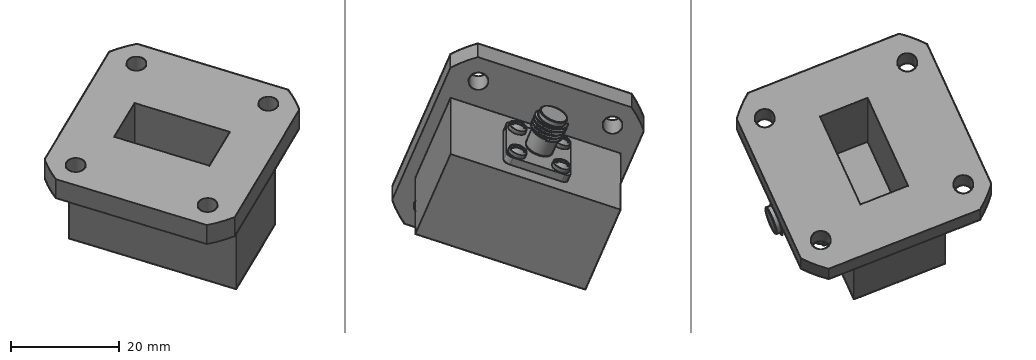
import cadquery as cq
import math

flange_side = 38.1
flange_thickness = 5.0
corner_cut = 3.92
flange_hole_diameter = 3.65
hole_pitch_x = 26.4
hole_pitch_y = 28.5

total_height = 25.4
body_width = 33.5
body_depth = 18.3
channel_width = 19.05
channel_depth = 9.52
wall = (body_depth - channel_depth) / 2
flange_bottom = total_height - flange_thickness

connector_z = 9.52
plate_side = 12.7
plate_thickness = 1.6
plate_corner_radius = 1.25
barrel_diameter = 5.35
barrel_end_diameter = 5.05
barrel_length = 7.92
base_taper_length = 0.25
plate_base = body_depth / 2
plate_face = plate_base + plate_thickness

thread_diameter = 6.4
thread_root_diameter = 5.55
thread_pitch = 0.72
thread_turns = 4.25
thread_start = 3.77
thread_length = 3.12
thread_lead_in = 0.057
thread_root_width = 0.65
thread_crest_width = 0.15
thread_embed = 0.1

screw_pitch = 8.65
head_diameter = 3.45
head_shoulder_diameter = 3.35
rim_height = 0.45
shoulder_height = 0.8
head_height = 1.45
slot_width = 0.85
slot_depth = 0.45


def on_connector_axis(shape, y):
    """Turn a shape built along +Z to point along +Y, standing on the plane at y."""
    return shape.rotate((0, 0, 0), (1, 0, 0), -90).translate((0, y, connector_z))


def make_flange():
    """Square plate with its corners turned on a circle about the channel axis."""
    half = flange_side / 2
    corner_radius = math.hypot(half, half - corner_cut)
    plate = cq.Workplane("XY").rect(flange_side, flange_side).extrude(flange_thickness)
    turned = cq.Workplane("XY").circle(corner_radius).extrude(flange_thickness)
    holes = (
        cq.Workplane("XY")
        .rect(hole_pitch_x, hole_pitch_y, forConstruction=True)
        .vertices()
        .circle(flange_hole_diameter / 2)
        .extrude(flange_thickness)
    )
    return plate.intersect(turned).cut(holes).translate((0, 0, flange_bottom))


def make_body():
    """Solid block below the flange."""
    return cq.Workplane("XY").rect(body_width, body_depth).extrude(flange_bottom)


def make_channel():
    """Waveguide opening, leaving a floor as thick as the long side walls."""
    return (
        cq.Workplane("XY", origin=(0, 0, wall))
        .rect(channel_width, channel_depth)
        .extrude(total_height - wall)
    )


def make_connector_plate():
    """Square plate with rounded corners, seated on the +Y face of the body."""
    plate = (
        cq.Workplane("XY")
        .rect(plate_side, plate_side)
        .extrude(plate_thickness)
        .edges("|Z")
        .fillet(plate_corner_radius)
    )
    return on_connector_axis(plate, plate_base)


def make_barrel():
    """Round barrel, tapering at its tip and where it meets the plate."""
    end_taper = (barrel_diameter - barrel_end_diameter) / 2
    barrel = (
        cq.Workplane("XY")
        .circle(barrel_diameter / 2)
        .extrude(barrel_length)
        .faces(">Z")
        .chamfer(end_taper)
        .faces("<Z")
        .chamfer(base_taper_length, end_taper)
    )
    return on_connector_axis(barrel, plate_face)


def make_thread():
    """Root sleeve with a right-handed helical ridge, both trimmed to the thread length."""
    buried_radius = thread_root_diameter / 2 - thread_embed
    crest_radius = thread_diameter / 2
    sweep_length = thread_pitch * thread_turns
    helix = cq.Wire.makeHelix(thread_pitch, sweep_length, buried_radius)
    ridge = (
        cq.Workplane("XZ")
        .moveTo(buried_radius, -thread_root_width / 2)
        .lineTo(crest_radius, -thread_crest_width / 2)
        .lineTo(crest_radius, thread_crest_width / 2)
        .lineTo(buried_radius, thread_root_width / 2)
        .close()
        .sweep(cq.Workplane(obj=helix), isFrenet=True)
        .rotate((0, 0, 0), (0, 0, 1), 90)
        .translate((0, 0, thread_lead_in))
    )
    overrun = 2 * thread_pitch
    sleeve = (
        cq.Workplane("XY", origin=(0, 0, -overrun))
        .circle(thread_root_diameter / 2)
        .extrude(thread_length + 2 * overrun)
    )
    envelope = cq.Workplane("XY").circle(thread_diameter).extrude(thread_length)
    thread = sleeve.union(ridge).intersect(envelope)
    return on_connector_axis(thread, plate_face + thread_start)


def make_screw_head():
    """Pan head: straight rim, tapered shoulder and spherical crown, slotted along X."""
    rim_radius = head_diameter / 2
    shoulder_radius = head_shoulder_diameter / 2
    crown_height = head_height - shoulder_height
    crown_radius = (shoulder_radius**2 + crown_height**2) / (2 * crown_height)
    pan = (
        cq.Workplane("XZ")
        .lineTo(rim_radius, 0)
        .lineTo(rim_radius, rim_height)
        .lineTo(shoulder_radius, shoulder_height)
        .radiusArc((0, head_height), -crown_radius)
        .close()
        .revolve(360, (0, 0, 0), (0, 1, 0))
    )
    slot = (
        cq.Workplane("XY", origin=(0, 0, head_height - slot_depth))
        .rect(head_diameter, slot_width)
        .extrude(slot_depth)
    )
    return on_connector_axis(pan.cut(slot), plate_face)


result = make_flange().union(make_body()).cut(make_channel())
result = result.union(make_connector_plate())
result = result.union(make_barrel()).union(make_thread())

screw_head = make_screw_head()
for side_x in (-1, 1):
    for side_z in (-1, 1):
        offset = (side_x * screw_pitch / 2, 0, side_z * screw_pitch / 2)
        result = result.union(screw_head.translate(offset))